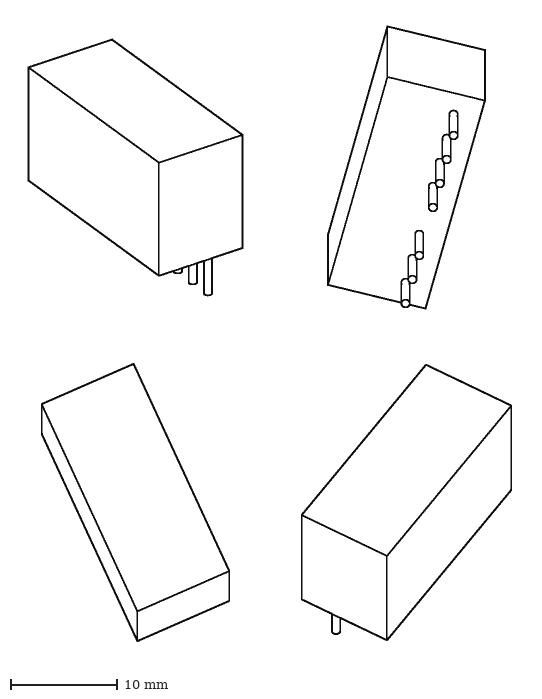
import cadquery as cq

LENGTH = 22.0
DEPTH = 9.5
HEIGHT = 12.25

TOTAL_HEIGHT = 17.35
PIN_LENGTH = TOTAL_HEIGHT - HEIGHT
PIN_DIAMETER = 0.8
PIN_ROW_SPAN = 17.78
PIN_POSITIONS = 8
EMPTY_POSITION = 3
PIN_PITCH = PIN_ROW_SPAN / (PIN_POSITIONS - 1)
PIN_ROW_INSET = 2.5
PIN_ROW_Y = DEPTH / 2 - PIN_ROW_INSET


def make_housing():
    """Plain block centred in X and Y, with its underside at Z = 0."""
    return cq.Workplane("XY").box(LENGTH, DEPTH, HEIGHT, centered=(True, True, False))


def make_pin(x):
    """Round pin hanging down from the underside of the housing."""
    return cq.Workplane("XY").center(x, PIN_ROW_Y).circle(PIN_DIAMETER / 2).extrude(-PIN_LENGTH)


housing = make_housing()

pins = []
for position in range(PIN_POSITIONS):
    if position != EMPTY_POSITION:
        pins.append(make_pin(position * PIN_PITCH - PIN_ROW_SPAN / 2))

result = cq.Compound.makeCompound([housing.val(), *[pin.val() for pin in pins]])